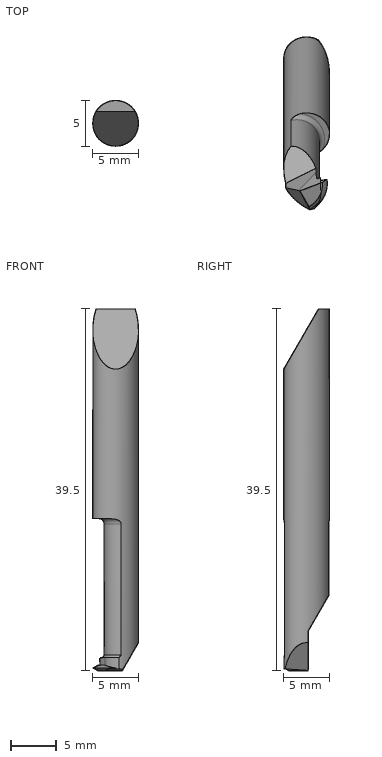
import cadquery as cq
import math


shank_radius = 2.5
total_length = 39.5
end_angle = math.radians(30)
top_flat_y = 1.3

neck_radius = 2.5
neck_left_x = -1.27
neck_axis_x = neck_left_x + neck_radius
step_z = 16.6
step_fillet = 0.55
head_radius = 2.63
head_top_z = 1.44
flare_height = 0.28

land_left_x = -1.73
land_root_top_y = -1.05
land_root_base_y = -1.22
land_chamfer = 0.1

flat_y = 0.2
flat_top_z = 4.38
tip_right_x = 0.72
rake_start = (neck_left_x, flat_y, 3.1)
rake_normal = (-0.1, 1, -0.075)
clearance_z = 0.05
clearance_angle = math.radians(4)

blade_top_z = 0.62
blade_edge_z = blade_top_z / 2
v_half_angle = math.radians(30)
v_depth = blade_edge_z / math.tan(v_half_angle)
blade_radius = 3.6
blade_tip = (-2.48, -0.1)
blade_heel = (0.55, -2.44)

margin = 4.0


def prism_along_x(points):
    """Prism with a YZ outline, wide enough to span the shank."""
    return cq.Workplane("YZ").polyline(points).close().extrude(margin, both=True)


def top_bevel():
    far_y = -shank_radius - margin
    drop = (top_flat_y - far_y) / math.tan(end_angle)
    return prism_along_x([
        (top_flat_y, total_length),
        (far_y, total_length),
        (far_y, total_length - drop),
    ])


def rake_side_cut():
    """Flat at the lower end and the bevel that runs it out."""
    far_y = shank_radius + margin
    rise = (far_y - flat_y) / math.tan(end_angle)
    return prism_along_x([
        (flat_y, -margin),
        (flat_y, flat_top_z),
        (far_y, flat_top_z + rise),
        (far_y, -margin),
    ])


def rake_face_cut():
    """Tilted rake face, sunk below the flat toward the cutting tip."""
    plane = cq.Plane(origin=rake_start, xDir=(1, 0, 0), normal=rake_normal)
    half_space = cq.Workplane(plane).rect(4 * margin, 4 * margin).extrude(margin)
    end_zone = cq.Workplane("XY").circle(2 * margin).extrude(flat_top_z)
    return half_space.intersect(end_zone)


def side_bevel():
    far_x = shank_radius + margin
    rise = (far_x - tip_right_x) / math.tan(end_angle)
    outline = [(tip_right_x, 0), (far_x, rise), (far_x, 0)]
    return cq.Workplane("XZ").polyline(outline).close().extrude(margin, both=True)


def underside_cut():
    """Clearance that rises away from the rake side."""
    far_y = -shank_radius - margin
    rise = (flat_y - far_y) * math.tan(clearance_angle)
    return prism_along_x([
        (margin, -margin),
        (margin, clearance_z),
        (flat_y, clearance_z),
        (far_y, clearance_z + rise),
        (far_y, -margin),
    ])


def neck_envelope():
    """Head, flare, neck and step fillet revolved about the neck axis."""
    wide_radius = neck_axis_x + 2 * shank_radius
    arc_reach = step_fillet * (1 - math.sqrt(0.5))
    profile = (
        cq.Workplane("XZ", origin=(neck_axis_x, 0, 0))
        .lineTo(head_radius, 0)
        .lineTo(head_radius, head_top_z)
        .lineTo(neck_radius, head_top_z + flare_height)
        .lineTo(neck_radius, step_z - step_fillet)
        .threePointArc(
            (neck_radius + arc_reach, step_z - arc_reach),
            (neck_radius + step_fillet, step_z),
        )
        .lineTo(wide_radius, step_z)
        .lineTo(wide_radius, total_length)
        .lineTo(0, total_length)
        .close()
    )
    return profile.revolve(360, (0, 0, 0), (0, 1, 0))


def land_outline(root_y):
    """Land section that meets the head circle at root_y."""
    root_x = neck_axis_x - math.sqrt(head_radius ** 2 - root_y ** 2)
    return [
        (land_left_x, flat_y),
        (land_left_x, 0),
        (root_x, root_y),
        (neck_axis_x, root_y),
        (neck_axis_x, flat_y),
    ]


def head_land():
    """Drafted land with a chamfered upper left corner."""
    land = (
        cq.Workplane("XY")
        .polyline(land_outline(land_root_base_y))
        .close()
        .workplane(offset=head_top_z)
        .polyline(land_outline(land_root_top_y))
        .close()
        .loft(ruled=True)
    )
    return land.faces(">Z").edges("<X").chamfer(land_chamfer)


def make_holder():
    shank = cq.Workplane("XY").circle(shank_radius).extrude(total_length)
    body = shank.intersect(neck_envelope().union(head_land()))
    for cut in (top_bevel(), rake_side_cut(), rake_face_cut(), side_bevel(), underside_cut()):
        body = body.cut(cut)
    return body


def blade_axis():
    """Centre of the V edge arc through the tip and the heel."""
    chord_x = blade_heel[0] - blade_tip[0]
    chord_y = blade_heel[1] - blade_tip[1]
    chord = math.hypot(chord_x, chord_y)
    reach = math.sqrt(blade_radius ** 2 - (chord / 2) ** 2)
    return (
        (blade_tip[0] + blade_heel[0]) / 2 - chord_y / chord * reach,
        (blade_tip[1] + blade_heel[1]) / 2 + chord_x / chord * reach,
    )


def make_blade(holder):
    """V-rimmed disc sector that fits against the head of the holder."""
    axis_x, axis_y = blade_axis()
    disc = (
        cq.Workplane("XZ", origin=(axis_x, axis_y, 0))
        .lineTo(blade_radius - v_depth, 0)
        .lineTo(blade_radius, blade_edge_z)
        .lineTo(blade_radius - v_depth, blade_top_z)
        .lineTo(0, blade_top_z)
        .close()
        .revolve(360, (0, 0, 0), (0, 1, 0))
    )
    shank_zone = cq.Workplane("XY").circle(shank_radius).extrude(blade_top_z)
    blade = disc.intersect(shank_zone)
    for cut in (rake_side_cut(), rake_face_cut(), side_bevel()):
        blade = blade.cut(cut)
    return blade.cut(holder)


holder = make_holder()
blade = make_blade(holder)
result = cq.Compound.makeCompound([holder.val(), blade.val()])